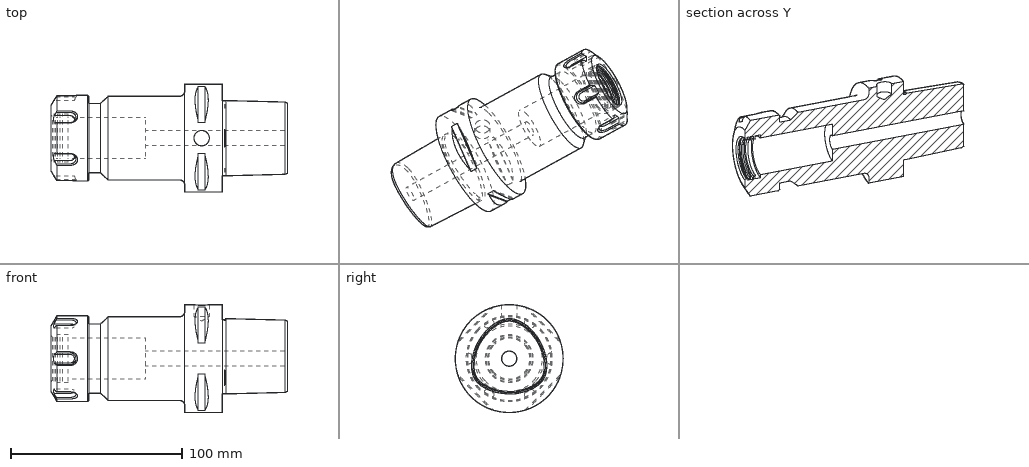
import cadquery as cq
import math


total_length = 138.0
shank_length = 38.0
flange_width = 22.1
nut_length = 22.1
neck_end = 28.8
body_start = 33.4
flange_back = total_length - shank_length
flange_front = flange_back - flange_width
flange_middle = 87.9

nose_radius = 38.4 / 2
nut_radius = 50.2 / 2
neck_radius = 40.6 / 2
body_radius = 49.0 / 2
flange_radius = 63.0 / 2

nose_chamfer_length = 3.5
nut_back_chamfer = 0.7
body_fillet = 2.9

mouth_radius = 27.0 / 2
bore_radius = 24.0 / 2
lip_radius = 25.3 / 2
lip_length = 1.7
bore_depth = 55.2
through_hole_diameter = 8.7
ring_groove_radius = 28.0 / 2
ring_grooves = [(1.7, 1.1), (3.7, 1.7), (6.8, 3.0)]

slot_count = 6
slot_floor_radius = 22.0
slot_floor_width = 5.0
slot_wall_top_radius = 24.2
slot_wall_top_width = 6.8
slot_rim_radius = 24.8
slot_rim_width = 8.1
slot_arc_center = 11.2

gripper_count = 4
gripper_floor_distance = 27.7
gripper_floor_width = 4.1
gripper_step_height = 0.7
gripper_wall_angle = 30.0
index_hole_diameter = 9.0
index_hole_depth = 6.9
index_hole_point_angle = 118.0

lobe_count = 3
shank_width = 44.0
lobe_height = 1.4
taper_per_length = 1 / 20
shank_neck_length = 2.0
shank_neck_inset = 0.07
shank_straight_length = 0.7
tip_chamfer_length = 1.4
tip_chamfer_depth = 0.7
relief_radius = 22.8
relief_width = 1.2

AXIS_START = (0, 0, 0)
AXIS_END = (1, 0, 0)


def revolve_about_x(profile):
    return profile.close().revolve(360, AXIS_START, AXIS_END)


def turned_body():
    """Solid of nut, neck, body and flange with the fillet before the flange."""
    fillet_start = flange_front - body_fillet
    fillet_top = body_radius + body_fillet
    arc_drop = body_fillet * math.sin(math.radians(45))
    fillet_middle = (fillet_start + arc_drop, fillet_top - arc_drop)
    profile = (
        cq.Workplane("XY")
        .moveTo(0, 0)
        .lineTo(0, nose_radius)
        .lineTo(nose_chamfer_length, nut_radius)
        .lineTo(nut_length - nut_back_chamfer, nut_radius)
        .lineTo(nut_length, nut_radius - nut_back_chamfer)
        .lineTo(nut_length, neck_radius)
        .lineTo(neck_end, neck_radius)
        .lineTo(body_start, body_radius)
        .lineTo(fillet_start, body_radius)
        .threePointArc(fillet_middle, (flange_front, fillet_top))
        .lineTo(flange_front, flange_radius)
        .lineTo(flange_back, flange_radius)
        .lineTo(flange_back, 0)
    )
    return revolve_about_x(profile)


def lobe_wire(x, width):
    """Closed constant-width outline at station x, one lobe pointing to +Z."""

    def outline_point(angle):
        support = width / 2 + lobe_height * math.cos(lobe_count * angle)
        slide = -lobe_count * lobe_height * math.sin(lobe_count * angle)
        y = support * math.sin(angle) + slide * math.cos(angle)
        z = support * math.cos(angle) - slide * math.sin(angle)
        return cq.Vector(x, y, z)

    steps_per_lobe = 12
    lobe_angle = 2 * math.pi / lobe_count
    edges = []
    for lobe in range(lobe_count):
        start = (lobe - 0.5) * lobe_angle
        points = [outline_point(start + lobe_angle * i / steps_per_lobe) for i in range(steps_per_lobe + 1)]
        tangents = [cq.Vector(0, math.cos(a), -math.sin(a)) for a in (start, start + lobe_angle)]
        edges.append(cq.Edge.makeSpline(points, tangents=tangents))
    return cq.Wire.assembleEdges(edges)


def shank():
    """Lobed neck with a round relief, then a slightly wider straight band, the taper and a chamfered tip."""
    neck_width = shank_width - 2 * shank_neck_inset
    band_start = flange_back + shank_neck_length
    taper_start = band_start + shank_straight_length
    taper_end = total_length - tip_chamfer_length
    end_width = shank_width - taper_per_length * (taper_end - taper_start)
    sections = [
        lobe_wire(band_start, shank_width),
        lobe_wire(taper_start, shank_width),
        lobe_wire(taper_end, end_width),
        lobe_wire(total_length, end_width - 2 * tip_chamfer_depth),
    ]
    lobed = cq.Workplane(cq.Solid.makeLoft(sections, True))
    neck_ends = [lobe_wire(flange_back, neck_width), lobe_wire(band_start, neck_width)]
    neck = cq.Workplane(cq.Solid.makeLoft(neck_ends, True))
    lobe_radius = shank_width / 2 + lobe_height
    relief = revolve_about_x(
        cq.Workplane("XY")
        .moveTo(flange_back, relief_radius)
        .lineTo(flange_back + relief_width, relief_radius)
        .lineTo(band_start, lobe_radius)
        .lineTo(band_start, flange_radius)
        .lineTo(flange_back, flange_radius)
    )
    return neck.cut(relief).union(lobed)


def collet_bore():
    """Chamfered mouth, blind bore, ring grooves behind the mouth and the small through hole."""
    cutter = revolve_about_x(
        cq.Workplane("XY")
        .lineTo(0, mouth_radius)
        .lineTo(mouth_radius - lip_radius, lip_radius)
        .lineTo(lip_length, lip_radius)
        .lineTo(lip_length, bore_radius)
        .lineTo(bore_depth, bore_radius)
        .lineTo(bore_depth, 0)
    )
    for start, width in ring_grooves:
        cutter = cutter.union(cq.Workplane("YZ", origin=(start, 0, 0)).circle(ring_groove_radius).extrude(width))
    through_hole = cq.Workplane("YZ").circle(through_hole_diameter / 2).extrude(total_length)
    return cutter.union(through_hole)


def wrench_slot():
    """Cutter for the slot on the +Y side: sloping walls, flared rim and a round inner end."""
    flare_slope = (slot_rim_width - slot_wall_top_width) / (slot_rim_radius - slot_wall_top_radius)
    top_radius = nut_radius + 1.4
    top_width = slot_rim_width + flare_slope * (top_radius - slot_rim_radius)
    half_profile = [
        (slot_floor_width / 2, slot_floor_radius),
        (slot_wall_top_width / 2, slot_wall_top_radius),
        (top_width / 2, top_radius),
    ]
    mirrored = [(-across, radius) for across, radius in reversed(half_profile)]
    straight = (
        cq.Workplane(cq.Plane((slot_arc_center, 0, 0), (0, 0, 1), (-1, 0, 0)))
        .polyline(half_profile + mirrored)
        .close()
        .extrude(slot_arc_center)
    )
    round_end = (
        cq.Workplane("XY", origin=(slot_arc_center, 0, 0))
        .polyline([(0, slot_floor_radius)] + half_profile + [(0, top_radius)])
        .close()
        .revolve(360, (0, 0, 0), (0, 1, 0))
    )
    return straight.union(round_end)


def gripper_groove():
    """Cutter for a groove across the +Y side of the flange: flat floor, short upright steps, flared walls."""
    step_top = gripper_floor_distance + gripper_step_height
    clear_height = flange_radius + 1.4
    half_floor = gripper_floor_width / 2
    half_top = half_floor + (clear_height - step_top) * math.tan(math.radians(gripper_wall_angle))
    return (
        cq.Workplane("XY")
        .moveTo(flange_middle - half_floor, gripper_floor_distance)
        .lineTo(flange_middle + half_floor, gripper_floor_distance)
        .lineTo(flange_middle + half_floor, step_top)
        .lineTo(flange_middle + half_top, clear_height)
        .lineTo(flange_middle - half_top, clear_height)
        .lineTo(flange_middle - half_floor, step_top)
        .close()
        .extrude(flange_radius, both=True)
    )


def index_hole():
    """Drilled hole with a conical bottom, entering the flange from +Z."""
    radius = index_hole_diameter / 2
    bottom = flange_radius - index_hole_depth
    tip = bottom - radius / math.tan(math.radians(index_hole_point_angle / 2))
    return (
        cq.Workplane("XZ", origin=(flange_middle, 0, 0))
        .moveTo(0, tip)
        .lineTo(radius, bottom)
        .lineTo(radius, flange_radius)
        .lineTo(0, flange_radius)
        .close()
        .revolve(360, (0, 0, 0), (0, 1, 0))
    )


result = turned_body().union(shank()).cut(collet_bore()).cut(index_hole())

for i in range(slot_count):
    result = result.cut(wrench_slot().rotate(AXIS_START, AXIS_END, i * 360 / slot_count))

for i in range(gripper_count):
    result = result.cut(gripper_groove().rotate(AXIS_START, AXIS_END, 45 + i * 360 / gripper_count))